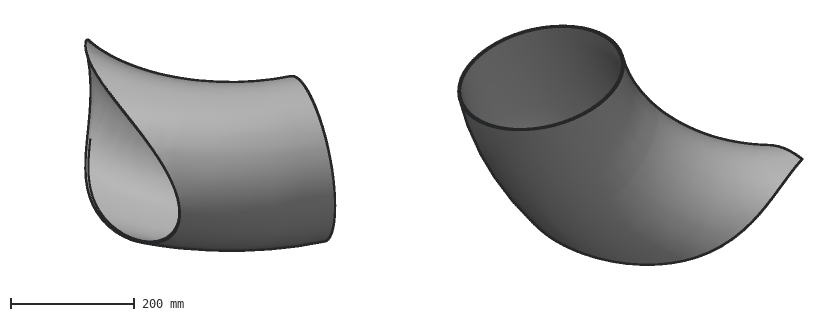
import cadquery as cq

pipe_radius = 136.5
wall = 3.0
bend_radius = 381.0
bend_angle = 90
header_radius = 178.0
overshoot = 26

inside_bend_radius = bend_radius - pipe_radius
header_depth = inside_bend_radius + header_radius
elbow_reach = bend_radius + pipe_radius


def pipe_bend():
    """Hollow pipe bent about Z, from the +X side round to the -Y side."""
    return (
        cq.Workplane("XZ")
        .center(bend_radius, 0)
        .circle(pipe_radius)
        .circle(pipe_radius - wall)
        .revolve(bend_angle, (-bend_radius, 5, 0), (-bend_radius, 0, 0))
    )


def header_pipe():
    """Solid cylinder along X that overshoots the elbow at both ends."""
    return (
        cq.Workplane("ZY")
        .center(0, -header_depth)
        .circle(header_radius)
        .extrude(elbow_reach + overshoot, both=True)
    )


result = pipe_bend().cut(header_pipe())